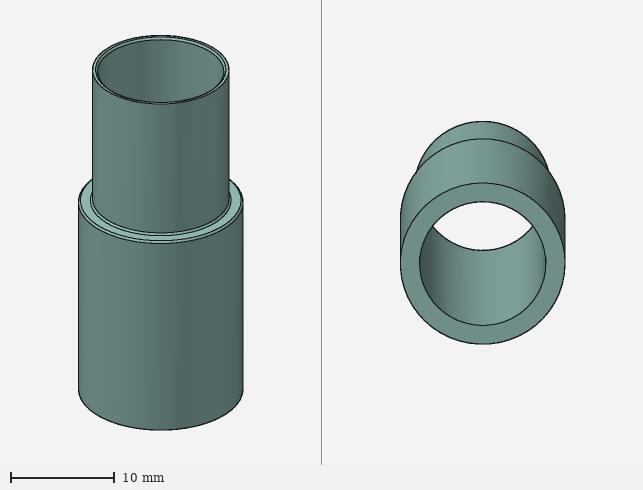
import cadquery as cq

total_height = 35.56
shoulder_height = 21.0
body_diameter = 15.875
neck_diameter = 13.16
neck_wall = 0.5
chamfer = 0.2

body_radius = body_diameter / 2
neck_radius = neck_diameter / 2
bore_radius = neck_radius - neck_wall


def make_wall_profile():
    """Closed half section of the sleeve wall, drawn in the XZ plane."""
    return (
        cq.Workplane("XZ")
        .moveTo(bore_radius, 0)
        .lineTo(body_radius, 0)
        .lineTo(body_radius, shoulder_height - chamfer)
        .lineTo(body_radius - chamfer, shoulder_height)
        .lineTo(neck_radius + chamfer, shoulder_height)
        .lineTo(neck_radius, shoulder_height + chamfer)
        .lineTo(neck_radius, total_height)
        .lineTo(bore_radius + chamfer, total_height)
        .lineTo(bore_radius, total_height - chamfer)
        .close()
    )


result = make_wall_profile().revolve(360, (0, 0, 0), (0, 1, 0))